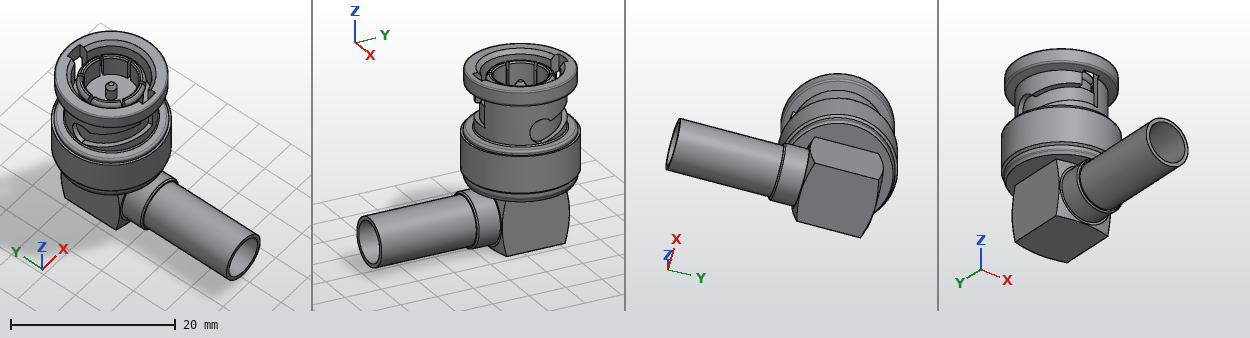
import cadquery as cq
import math


block_side = 8.0
block_half_length = 4.65
block_cone_small_radius = 3.9
block_cone_height = 0.65
block_corner_radius = block_side / math.sqrt(2)

collar_radius = 3.6
collar_end_y = -7.77
collar_chamfer = 0.2
tube_radius = 3.23
tube_bore_radius = 2.72
tube_end_y = -20.75
stem_radius = 2.13
stem_rim_radius = 1.75
stem_bore_radius = 1.57
stem_end_y = -14.02
stem_outer_chamfer = stem_radius - stem_rim_radius

sleeve_bottom_z = block_side / 2
sleeve_radius = 7.3
step_radius = 6.98
sleeve_bottom_radius = 6.73
bottom_chamfer_top_z = 4.52
sleeve_low_z = 5.15
sleeve_chamfer = 0.28
sleeve_high_z = 10.35
step_top_z = 10.9
step_fillet = 0.3
step_lower_fillet = 0.42

neck_radius = 5.67
neck_root_fillet = 0.17
flange_radius = 6.9
flange_bottom_z = 16.5
flange_cone_top_z = 16.91
overall_height = 22.85
top_z = overall_height - block_side / 2
flange_fillet = 0.17
flange_lower_fillet = 0.28

mouth_radius = 4.9
funnel_radius = 5.4
funnel_depth = 0.55
inner_face_z = 14.78
inner_body_radius = 5.0

finger_root_radius = 3.93
finger_bead_radius = 4.24
finger_bead_height = 1.23
finger_inner_radius = 3.37
finger_top_outer_radius = 3.81
finger_entry_chamfer = 0.2
finger_top_z = 18.05
finger_slit_count = 6
finger_slit_width = 0.42

pin_radius = 0.7
pin_tip_radius = 0.3
pin_top_z = 17.05
pin_tip_length = 0.55

slot_width = 2.33
notch_radius = 6.03
lock_hole_radius = 1.6
lock_hole_z = 12.68
ramp_angle = math.radians(14.4)
ramp_low_offset = lock_hole_radius
ramp_high_offset = slot_width - lock_hole_radius


def turned_about_z(points):
    """Solid of revolution about Z from (radius, z) points."""
    return cq.Workplane("XZ").polyline(points).close().revolve(360, (0, 0, 0), (0, 1, 0))


def turned_about_y(points):
    """Solid of revolution about the cable axis from (radius, y) points."""
    return cq.Workplane("XY").polyline(points).close().revolve(360, (0, 0, 0), (0, 1, 0))


def cylinder_z(radius, low_z, high_z):
    return cq.Workplane("XY", origin=(0, 0, low_z)).circle(radius).extrude(high_z - low_z)


def cylinder_y(radius, start_y, end_y):
    """Cylinder on the cable axis, running towards -Y."""
    return cq.Workplane("XZ", origin=(0, start_y, 0)).circle(radius).extrude(start_y - end_y)


def at_height(z):
    """Selector for the flat edges that lie at one height."""
    reach = 2 * sleeve_radius
    margin = 0.03
    return cq.selectors.BoxSelector((-reach, -reach, z - margin), (reach, reach, z + margin))


def make_block():
    block = cq.Workplane("XY").box(block_side, 2 * block_half_length, block_side)
    cone_base_y = block_half_length - block_cone_height
    envelope = turned_about_y(
        [
            (0, -block_half_length),
            (block_cone_small_radius, -block_half_length),
            (block_corner_radius, -cone_base_y),
            (block_corner_radius, cone_base_y),
            (block_cone_small_radius, block_half_length),
            (0, block_half_length),
        ]
    )
    return block.intersect(envelope)


def make_cable_outlet():
    collar = cylinder_y(collar_radius, -block_half_length, collar_end_y)
    collar = collar.faces("<Y").chamfer(collar_chamfer)
    tube = cylinder_y(tube_radius, collar_end_y, tube_end_y)
    bore = cylinder_y(tube_bore_radius, -block_half_length, tube_end_y)
    rim_depth = stem_rim_radius - stem_bore_radius
    stem = turned_about_y(
        [
            (stem_bore_radius, -block_half_length),
            (stem_radius, -block_half_length),
            (stem_radius, stem_end_y + stem_outer_chamfer),
            (stem_rim_radius, stem_end_y),
            (stem_bore_radius, stem_end_y + rim_depth),
        ]
    )
    return collar.union(tube).cut(bore).union(stem)


def make_sleeve():
    sleeve = turned_about_z(
        [
            (0, sleeve_bottom_z),
            (sleeve_bottom_radius, sleeve_bottom_z),
            (step_radius, bottom_chamfer_top_z),
            (step_radius, sleeve_low_z),
            (sleeve_radius, sleeve_low_z + sleeve_chamfer),
            (sleeve_radius, sleeve_high_z),
            (step_radius, sleeve_high_z),
            (step_radius, step_top_z),
            (0, step_top_z),
        ]
    )
    sleeve = sleeve.faces(">Z").edges().fillet(step_fillet)
    sleeve = sleeve.edges(at_height(bottom_chamfer_top_z)).fillet(step_lower_fillet)
    neck = turned_about_z(
        [
            (0, step_top_z),
            (neck_radius + neck_root_fillet, step_top_z),
            (neck_radius, step_top_z + neck_root_fillet),
            (neck_radius, flange_bottom_z),
            (flange_radius, flange_cone_top_z),
            (flange_radius, top_z),
            (0, top_z),
        ]
    )
    neck = neck.faces(">Z").edges().fillet(flange_fillet)
    neck = neck.edges(at_height(flange_cone_top_z)).fillet(flange_lower_fillet)
    return sleeve.union(neck)


def make_mouth():
    return turned_about_z(
        [
            (0, inner_face_z),
            (mouth_radius, inner_face_z),
            (mouth_radius, top_z - funnel_depth),
            (funnel_radius, top_z),
            (0, top_z),
        ]
    )


def ramp_rise(distance):
    """Height the ramp gains over a distance along Y."""
    return distance * math.tan(ramp_angle)


def make_notch():
    """Straight entry on the -Y side, from the mouth down into the ramp."""
    bottom_z = lock_hole_z + ramp_rise(neck_radius)
    height = top_z - bottom_z
    notch = (
        cq.Workplane("XY", origin=(0, -notch_radius / 2, bottom_z))
        .rect(slot_width, notch_radius)
        .extrude(height)
    )
    return notch.intersect(cylinder_z(notch_radius, bottom_z, top_z))


def make_ramp():
    """Sloping channel, cut along X from the far side of the notch, that ends in the locking hole."""
    low_z = lock_hole_z - ramp_low_offset / math.cos(ramp_angle)
    high_z = lock_hole_z + ramp_high_offset / math.cos(ramp_angle)
    rise = ramp_rise(notch_radius)
    cut_length = slot_width / 2 + neck_radius
    channel = (
        cq.Workplane("YZ", origin=(slot_width / 2, 0, 0))
        .polyline([(0, low_z), (0, high_z), (-notch_radius, high_z + rise), (-notch_radius, low_z + rise)])
        .close()
        .extrude(-cut_length)
    )
    lock_hole = cq.Workplane("YZ").center(0, lock_hole_z).circle(lock_hole_radius).extrude(-cut_length)
    return channel.union(lock_hole)


def make_slot():
    """Notch, ramp and locking hole, all stopping at the inner body."""
    inner_body = cylinder_z(inner_body_radius, sleeve_high_z, inner_face_z)
    return make_notch().union(make_ramp()).cut(inner_body)


def make_fingers():
    bead_bottom_z = finger_top_z - finger_bead_height
    ring = (
        cq.Workplane("XZ")
        .moveTo(finger_inner_radius, inner_face_z)
        .lineTo(finger_root_radius, inner_face_z)
        .lineTo(finger_root_radius, bead_bottom_z)
        .threePointArc(
            (finger_bead_radius, finger_top_z - finger_bead_height / 2),
            (finger_top_outer_radius, finger_top_z),
        )
        .lineTo(finger_inner_radius + finger_entry_chamfer, finger_top_z)
        .lineTo(finger_inner_radius, finger_top_z - finger_entry_chamfer)
        .close()
        .revolve(360, (0, 0, 0), (0, 1, 0))
    )
    for index in range(finger_slit_count // 2):
        slit = (
            cq.Workplane("XY", origin=(0, 0, inner_face_z))
            .rect(2 * mouth_radius, finger_slit_width)
            .extrude(finger_top_z - inner_face_z)
            .rotate((0, 0, 0), (0, 0, 1), index * 360 / finger_slit_count)
        )
        ring = ring.cut(slit)
    return ring


def make_pin():
    return turned_about_z(
        [
            (0, inner_face_z),
            (pin_radius, inner_face_z),
            (pin_radius, pin_top_z - pin_tip_length),
            (pin_tip_radius, pin_top_z),
            (0, pin_top_z),
        ]
    )


slot = make_slot()
opposite_slot = slot.rotate((0, 0, 0), (0, 0, 1), 180)
shell = make_sleeve().cut(make_mouth()).cut(slot).cut(opposite_slot)
result = shell.union(make_block()).union(make_cable_outlet()).union(make_fingers()).union(make_pin())